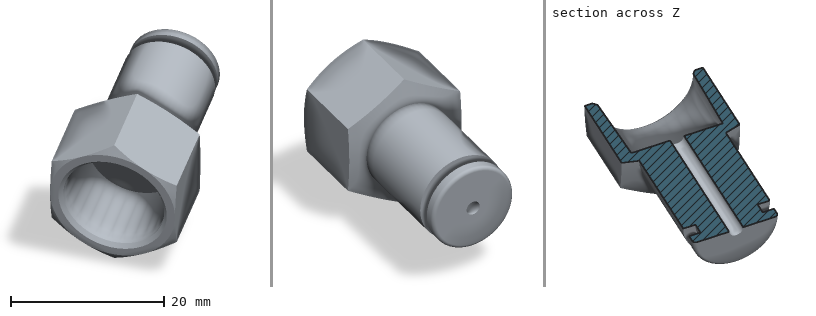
import cadquery as cq
import math

total_length = 29.0
across_flats = 17.0
hex_length = 12.25

body_radius = 6.24
neck_radius = 4.5
neck_length = 1.5
collar_radius = 6.12
collar_length = 1.5
collar_fillet = 0.5

front_chamfer_angle = 30.0
rear_chamfer_angle = 15.0

socket_mouth_radius = 7.37
socket_entry_radius = 6.85
socket_chamfer_depth = 0.55
socket_depth = 10.45
socket_taper = 1 / 16
hole_radius = 1.0

front_y = -total_length / 2
rear_y = total_length / 2
hex_rear_y = front_y + hex_length
collar_front_y = rear_y - collar_length
body_rear_y = collar_front_y - neck_length
flat_radius = across_flats / 2
corner_radius = flat_radius / math.cos(math.radians(30))


def revolve_profile(points):
    """Revolve a closed (radius, y) outline around the Y axis."""
    return cq.Workplane("XY").polyline(points).close().revolve(360, (0, 0, 0), (0, 1, 0))


def cylinder(radius, start_y, end_y):
    """Solid cylinder along Y between two positions."""
    return revolve_profile([(0, start_y), (radius, start_y), (radius, end_y), (0, end_y)])


def chamfered_hexagon():
    """Hexagon with flats facing X, its corners turned off conically at both ends."""
    envelope_radius = corner_radius + 0.3
    front_rise = (envelope_radius - flat_radius) * math.tan(math.radians(front_chamfer_angle))
    rear_drop = (envelope_radius - body_radius) * math.tan(math.radians(rear_chamfer_angle))
    envelope = revolve_profile([
        (0, front_y),
        (flat_radius, front_y),
        (envelope_radius, front_y + front_rise),
        (envelope_radius, hex_rear_y - rear_drop),
        (body_radius, hex_rear_y),
        (0, hex_rear_y),
    ])
    prism = (
        cq.Workplane("XZ", origin=(0, front_y, 0))
        .transformed(rotate=(0, 0, 30))
        .polygon(6, 2 * corner_radius)
        .extrude(-hex_length)
    )
    return prism.intersect(envelope)


def shank():
    """Round body followed by the narrow neck."""
    body = cylinder(body_radius, hex_rear_y, body_rear_y)
    neck = cylinder(neck_radius, body_rear_y, collar_front_y)
    return body.union(neck)


def release_collar():
    """End collar with a rounded outer rim."""
    return cylinder(collar_radius, collar_front_y, rear_y).faces(">Y").edges().fillet(collar_fillet)


def socket():
    """Tapered bore with a chamfered mouth."""
    entry_y = front_y + socket_chamfer_depth
    floor_y = front_y + socket_depth
    floor_radius = socket_entry_radius - (floor_y - entry_y) * socket_taper / 2
    return revolve_profile([
        (0, front_y),
        (socket_mouth_radius, front_y),
        (socket_entry_radius, entry_y),
        (floor_radius, floor_y),
        (0, floor_y),
    ])


result = (
    chamfered_hexagon()
    .union(shank())
    .union(release_collar())
    .cut(socket())
    .cut(cylinder(hole_radius, front_y, rear_y))
)